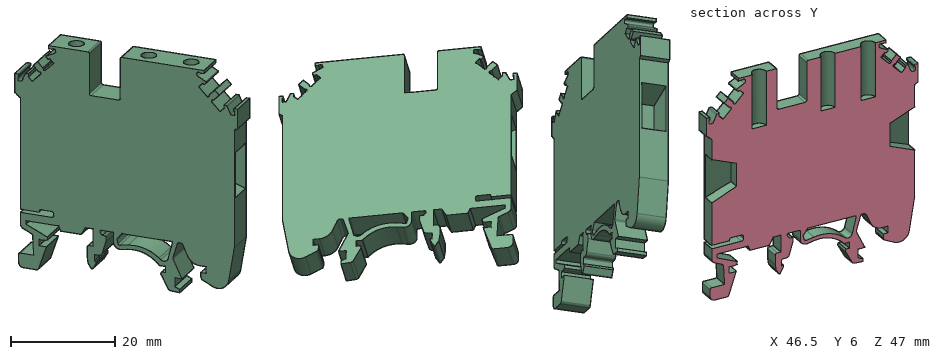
import cadquery as cq
import math


length = 46.5
height = 47.0
thickness = 6.0

body_left = 1.18
body_right = 45.8
underside = 10.4
block_bottom = 8.85
latch_arm_bottom = 9.85
latch_arm_top = 11.4

top_edge_start = 7.05
ear_top = 40.1
seat_start_x = 3.65
seat_start_z = 39.0
seat_length = 6.3
lip_height = 1.15
fin_start = 2.5
fin_end = 3.8
fin_height = 2.25
fin_neck_height = 0.65
fin_neck_inset = 0.2
fin_neck_radius = 0.25

notch_left = 15.55
notch_right = 22.0
notch_floor = 38.0
notch_radius = 0.38
notch_rim_radius = 0.35

screw_diameter = 3.0
screw_depth = 11.75
screw_positions = (11.6, 26.7, 35.55)

entry_width = 5.05
entry_height = 9.35
entry_floor_width = 3.6
entry_floor_height = 4.95
entry_floor_shift = 0.38
entry_depth = 5.4
entry_center_z = 26.1


def rounded_outline(corners):
    """Closed outline in the XZ plane from (x, z) or (x, z, radius) corners."""
    starts = []
    arcs = []
    for i, corner in enumerate(corners):
        here = cq.Vector(corner[0], corner[1])
        radius = corner[2] if len(corner) > 2 else 0
        if radius == 0:
            starts.append(here)
            arcs.append(None)
            continue
        before = corners[i - 1]
        after = corners[(i + 1) % len(corners)]
        to_before = (cq.Vector(before[0], before[1]) - here).normalized()
        to_after = (cq.Vector(after[0], after[1]) - here).normalized()
        half_angle = to_before.getAngle(to_after) / 2
        setback = radius / math.tan(half_angle)
        bisector = (to_before + to_after).normalized()
        middle = here + bisector * (radius / math.sin(half_angle) - radius)
        starts.append(here + to_before * setback)
        arcs.append((middle, here + to_after * setback))

    sketch = cq.Workplane("XZ").moveTo(starts[0].x, starts[0].y)
    for i, arc in enumerate(arcs):
        if i > 0:
            sketch = sketch.lineTo(starts[i].x, starts[i].y)
        if arc:
            middle, end = arc
            sketch = sketch.threePointArc((middle.x, middle.y), (end.x, end.y))
    return sketch.close()


def plate(corners):
    """Outline extruded through the full thickness, centred on Y = 0."""
    return rounded_outline(corners).extrude(thickness / 2, both=True)


def on_seat(along, outward, radius=0):
    """Corner placed along the 45 degree marker seat and out from it."""
    x = seat_start_x + (along - outward) * math.sqrt(0.5)
    z = seat_start_z + (along + outward) * math.sqrt(0.5)
    return (x, z, radius)


def marker_clip():
    """Left marker clip, from the top of the ear up to the top edge."""
    return [
        (0, ear_top),
        (0.85, ear_top, 0.2),
        (0.85, 39.55, 0.1),
        (0.65, 39.55),
        (0.65, 38.7, 0.15),
        (1.4, 38.7, 0.25),
        (2.25, 40.45, 0.2),
        (2.85, 40.45),
        on_seat(0, lip_height),
        on_seat(0, 0),
        on_seat(fin_start + fin_neck_inset, 0, fin_neck_radius),
        on_seat(fin_start + fin_neck_inset, fin_neck_height / 2),
        on_seat(fin_start, fin_neck_height),
        on_seat(fin_start, fin_height),
        on_seat(fin_end, fin_height),
        on_seat(fin_end, fin_neck_height),
        on_seat(fin_end - fin_neck_inset, fin_neck_height / 2),
        on_seat(fin_end - fin_neck_inset, 0, fin_neck_radius),
        on_seat(seat_length, 0),
        on_seat(seat_length, lip_height),
        (7.0, 44.1),
        (6.4, 44.65, 0.2),
        (8.85, 45.85, 0.45),
        (8.25, 46.55, 0.35),
        (7.7, 46.35),
        (top_edge_start, 46.35),
        (top_edge_start, height),
    ]


def mirrored(corners):
    """The same corners on the other end of the block, in walking order."""
    return [(length - x, *rest) for x, *rest in reversed(corners)]


right_heel = [
    (length, 36.0),
    (body_right, 35.6),
    (body_right, 11.25),
    (44.1, 1.05, 2.35),
    (38.95, 3.52, 0.3),
    (38.78, 4.05),
    (38.78, 4.95),
    (39.85, 4.95),
    (39.85, 6.3),
    (36.75, 6.3, 2.8),
    (34.9, underside, 0.6),
]

spring_foot = [
    (34.0, underside, 0.45),
    (32.95, 6.95, 0.38),
    (34.87, 2.95),
    (33.35, 2.95),
    (33.35, 1.15),
    (34.4, 0.7),
    (34.4, 0),
    (32.15, 0.15, 0.7),
    (30.4, 3.4, 0.2),
    (30.65, 3.75),
    (31.4, 3.75),
    (31.4, 5.0),
    (30.17, 5.0),
    (27.4, 8.0, 7.15),
    (20.5, 6.7, 1.4),
    (20.65, underside, 0.25),
]

center_hook = [
    (17.4, underside, 0.35),
    (18.3, 9.35),
    (19.05, 9.35, 0.25),
    (19.05, 8.22, 0.25),
    (18.1, 5.1, 0.75),
    (16.6, 5.1, 0.2),
    (16.6, 3.75),
    (16.95, 3.75),
    (16.95, 3.35),
    (16.1, 1.9, 0.15),
    (15.28, 3.1),
    (15.1, 4.45),
    (15.1, 6.8, 0.4),
    (16.3, 6.8),
    (16.3, underside),
]

lowered_block = [
    (14.7, underside),
    (13.85, block_bottom),
    (9.6, block_bottom),
    (9.15, latch_arm_bottom),
]

latch_foot = [
    (2.35, latch_arm_bottom),
    (2.35, 9.15),
    (6.8, 7.2),
    (6.8, 6.55),
    (6.15, 6.4),
    (5.08, 6.4),
    (5.08, 5.1),
    (6.65, 5.1),
    (4.9, 0, 0.45),
    (0.8, 0, 1.05),
    (0.8, 2.95, 0.35),
    (3.95, 2.95),
    (3.7, 7.25, 0.38),
    (body_left, 8.4, 1.05),
]

latch_slot = [
    (body_left, latch_arm_top),
    (8.15, latch_arm_top, 0.45),
    (8.15, 12.65, 0.45),
    (5.25, 12.65, 0.15),
    (5.08, 12.1),
    (body_left, 12.1),
]

left_wall = [
    (body_left, 35.15),
    (0, 36.15),
]

notch = [
    (notch_left, height, notch_rim_radius),
    (notch_left, notch_floor, notch_radius),
    (notch_right, notch_floor, notch_radius),
    (notch_right, height, notch_rim_radius),
]

spring_window = [
    (22.32, underside),
    (21.3, 9.05, 0.2),
    (21.6, 7.85, 0.35),
    (27.2, 8.85, 8.2),
    (31.65, 5.35, 0.95),
    (32.9, underside, 0.2),
]


def housing():
    outline = (
        marker_clip()
        + notch
        + mirrored(marker_clip())
        + right_heel
        + spring_foot
        + center_hook
        + lowered_block
        + latch_foot
        + latch_slot
        + left_wall
    )
    return plate(outline).cut(plate(spring_window))


def screw_holes():
    return (
        cq.Workplane("XY", origin=(0, 0, height))
        .pushPoints([(x, 0) for x in screw_positions])
        .circle(screw_diameter / 2)
        .extrude(-screw_depth)
    )


def left_wire_entry():
    return (
        cq.Workplane("YZ", origin=(body_left, 0, entry_center_z))
        .rect(entry_width, entry_height)
        .workplane(offset=entry_depth)
        .center(entry_floor_shift, 0)
        .rect(entry_floor_width, entry_floor_height)
        .loft(ruled=True)
    )


middle_x = (body_left + body_right) / 2
left_entry = left_wire_entry()
right_entry = left_entry.mirror("YZ", (middle_x, 0, 0))

result = housing().cut(screw_holes()).cut(left_entry).cut(right_entry)